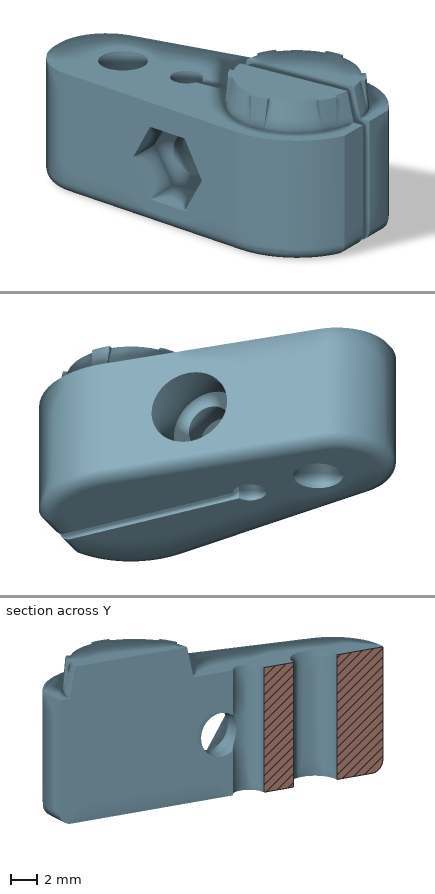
import cadquery as cq
import math

total_length = 28.21
body_height = 10.0
bottom_fillet = 1.0

head_radius = 7.0
end_flat_half_width = 3.0
head_end_x = math.sqrt(head_radius**2 - end_flat_half_width**2)

tail_end_x = head_end_x - total_length
tail_flat_half_width = 0.3
tail_corner_radius = 4.25
tail_corner_x = tail_end_x + tail_corner_radius

boss_height = 2.5
boss_base_radius = 5.5
boss_core_top_radius = 4.93
rib_top_radius = 5.28
rib_count = 6
rib_first_angle = 30.0
rib_base_width = 1.2
rib_top_width = 1.5

pivot_hole_x = -15.9
pivot_hole_diameter = 3.8
relief_hole_x = -10.1
relief_hole_diameter = 2.5
slot_width = 0.95

screw_x = -7.9
screw_z = body_height / 2
screw_hole_diameter = 3.5
nut_sides = 6
nut_across_flats = 6.0
nut_across_corners = nut_across_flats / math.cos(math.pi / nut_sides)
screw_head_diameter = 6.0
seat_offset = 2.5


def make_body():
    """Teardrop plate whose sides are tangent to the head and tail arcs."""
    center_distance = math.hypot(tail_corner_x, tail_flat_half_width)
    center_line_angle = math.atan2(tail_flat_half_width, -tail_corner_x)
    taper = math.asin((head_radius - tail_corner_radius) / center_distance) - center_line_angle
    head = (0, 0, head_radius)
    tail = (tail_corner_x, tail_flat_half_width, tail_corner_radius)

    def on_arc(arc, angle):
        x, y, radius = arc
        return (x + radius * math.cos(angle), y + radius * math.sin(angle))

    def mirrored(point):
        return (point[0], -point[1])

    side_angle = math.pi / 2 + taper
    end_corner = (head_end_x, end_flat_half_width)
    end_angle = math.atan2(end_flat_half_width, head_end_x)
    head_middle = on_arc(head, (end_angle + side_angle) / 2)
    head_tangent = on_arc(head, side_angle)
    tail_tangent = on_arc(tail, side_angle)
    tail_middle = on_arc(tail, (side_angle + math.pi) / 2)
    tail_flat = on_arc(tail, math.pi)

    outline = (
        cq.Workplane("XY")
        .moveTo(*end_corner)
        .threePointArc(head_middle, head_tangent)
        .lineTo(*tail_tangent)
        .threePointArc(tail_middle, tail_flat)
        .lineTo(*mirrored(tail_flat))
        .threePointArc(mirrored(tail_middle), mirrored(tail_tangent))
        .lineTo(*mirrored(head_tangent))
        .threePointArc(mirrored(head_middle), mirrored(end_corner))
        .close()
    )
    return outline.extrude(body_height).faces("<Z").edges().fillet(bottom_fillet)


def make_cone(top_radius):
    """Frustum on the body's top face, as wide as the boss at its base."""
    cone = cq.Solid.makeCone(boss_base_radius, top_radius, boss_height)
    return cq.Workplane(obj=cone.translate(cq.Vector(0, 0, body_height)))


def make_boss():
    """Tapered core with ribs that widen towards the top."""
    boss = make_cone(boss_core_top_radius)
    rib_envelope = make_cone(rib_top_radius)
    top_z = body_height + boss_height
    rib_blade = (
        cq.Workplane("YZ")
        .polyline([
            (-rib_base_width / 2, body_height),
            (rib_base_width / 2, body_height),
            (rib_top_width / 2, top_z),
            (-rib_top_width / 2, top_z),
        ])
        .close()
        .extrude(boss_base_radius)
    )
    for index in range(rib_count):
        angle = rib_first_angle + index * 360 / rib_count
        blade = rib_blade.rotate((0, 0, 0), (0, 0, 1), angle)
        boss = boss.union(rib_envelope.intersect(blade))
    return boss


def make_vertical_hole(x, diameter):
    return cq.Workplane("XY").center(x, 0).circle(diameter / 2).extrude(body_height)


def make_slot():
    """Clamping slot from the relief hole through the head and the boss."""
    length = head_end_x - relief_hole_x
    return (
        cq.Workplane("XY")
        .center(relief_hole_x + length / 2, 0)
        .rect(length, slot_width)
        .extrude(body_height + boss_height)
    )


def screw_plane(y):
    """Workplane centred on the screw axis; its normal points to -Y."""
    return cq.Workplane("XZ", origin=(screw_x, y, screw_z))


def make_screw_cut():
    """Through hole, hexagonal nut pocket on -Y and round head bore on +Y."""
    hole = screw_plane(0).circle(screw_hole_diameter / 2).extrude(head_radius, both=True)
    seat_depth = head_radius - seat_offset
    nut = screw_plane(-seat_offset).polygon(nut_sides, nut_across_corners).extrude(seat_depth)
    head = screw_plane(seat_offset).circle(screw_head_diameter / 2).extrude(-seat_depth)
    return hole.union(nut).union(head)


result = (
    make_body()
    .union(make_boss())
    .cut(make_vertical_hole(pivot_hole_x, pivot_hole_diameter))
    .cut(make_vertical_hole(relief_hole_x, relief_hole_diameter))
    .cut(make_slot())
    .cut(make_screw_cut())
)